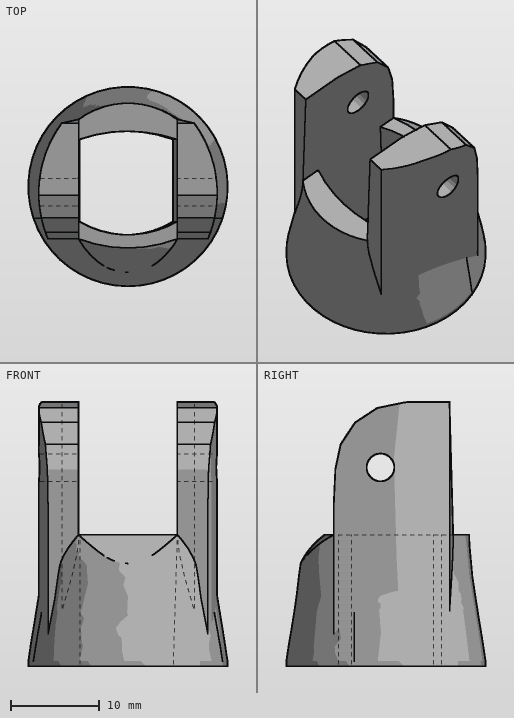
import cadquery as cq

total_height = 29.8
base_radius = 11.23
body_height = 14.85
split_y = -3.58

arm_inner_x = 5.55
arm_outer_x = 10.05
arm_back_x = 7.45
arm_front_x = 9.0
arm_back_y = 7.15
arm_front_y = -5.9
arm_widest_y = -0.98
arm_root_back_y = 7.57

arm_side = [
    (arm_front_y, 0),
    (arm_front_y, 18.27),
    (-5.72, 22.2),
    (-5.13, 25.0),
    (-3.5, 27.48),
    (arm_widest_y, 29.1),
    (1.9, 29.7),
    (2.55, total_height),
    (arm_back_y, total_height),
    (arm_root_back_y, body_height),
    (arm_root_back_y, 0),
]

pin_diameter = 3.1
pin_y = -0.63
pin_z = 22.4

opening_left_x = -5.45
opening_right_x = 5.07
opening_right_top_x = arm_inner_x
opening_back_y = 6.23
opening_back_corner_y = 5.3
opening_front_y = -5.42
opening_front_corner_y = -3.93

front_top_y = -6.9
shoulder_radius = 15.5
shoulder_axis_y = front_top_y + shoulder_radius
drum_clearance = 0.3
drum_straight_height = 5.8

skirt = [(base_radius, 0), (base_radius, 0.6), (10.73, 3.87), (10.25, 6.75)]
back_wall = skirt + [(9.75, 10.13), (9.4, body_height)]
front_wall = skirt + [(9.9, 9.68), (9.63, 11.6), (8.85, 13.53), (8.1, body_height)]

shoulder = [(-9.63, 11.6), (-8.58, 13.25), (-7.8, 14.1), (front_top_y, body_height)]


def turned(wall):
    """Revolve a wall, smooth above its short straight foot, about Z."""
    return (
        cq.Workplane("XZ")
        .moveTo(*wall[0])
        .lineTo(*wall[1])
        .spline(wall[2:], includeCurrent=True)
        .lineTo(0, body_height)
        .lineTo(0, 0)
        .close()
        .revolve(360, (0, 0, 0), (0, 1, 0))
    )


def y_to_axis(y):
    """Distance from the shoulder axis on the centre plane."""
    return shoulder_axis_y - y


def shoulder_envelope():
    """Drum wider than the skirt with a rounded top edge, turned about the shoulder axis."""
    profile = [(y_to_axis(y), z) for y, z in shoulder]
    drum_radius = y_to_axis(-base_radius) + drum_clearance
    return (
        cq.Workplane("XZ")
        .moveTo(0, 0)
        .lineTo(drum_radius, 0)
        .lineTo(drum_radius, drum_straight_height)
        .lineTo(*profile[0])
        .spline(profile[1:], includeCurrent=True)
        .lineTo(0, body_height)
        .close()
        .revolve(360, (0, 0, 0), (0, 1, 0))
        .translate((0, shoulder_axis_y, 0))
    )


def make_body():
    span = 4 * base_radius
    front_half = cq.Workplane("XY").box(span, span, span).translate((0, split_y - span / 2, 0))
    front = turned(front_wall).intersect(shoulder_envelope()).intersect(front_half)
    return turned(back_wall).cut(front_half).union(front)


def make_arm():
    """Right arm: bowed plan trimmed by the facetted side outline."""
    plan = (
        cq.Workplane("XY")
        .moveTo(arm_inner_x, arm_front_y)
        .lineTo(arm_front_x, arm_front_y)
        .threePointArc((arm_outer_x, arm_widest_y), (arm_back_x, arm_back_y))
        .lineTo(arm_inner_x, arm_root_back_y)
        .close()
        .extrude(total_height)
    )
    side = (
        cq.Workplane("YZ")
        .polyline(arm_side)
        .close()
        .extrude(base_radius)
    )
    return plan.intersect(side)


def opening_outline(right_x, z):
    """Opening at height z: straight sides with bowed front and back."""
    middle_x = (opening_left_x + right_x) / 2
    return (
        cq.Workplane("XY", origin=(0, 0, z))
        .moveTo(opening_left_x, opening_front_corner_y)
        .threePointArc((middle_x, opening_front_y), (right_x, opening_front_corner_y))
        .lineTo(right_x, opening_back_corner_y)
        .threePointArc((middle_x, opening_back_y), (opening_left_x, opening_back_corner_y))
        .close()
        .val()
    )


def make_opening():
    base_outline = opening_outline(opening_right_x, 0)
    top_outline = opening_outline(opening_right_top_x, body_height)
    return cq.Workplane(cq.Solid.makeLoft([base_outline, top_outline], True))


def make_pin_hole():
    return (
        cq.Workplane("YZ")
        .center(pin_y, pin_z)
        .circle(pin_diameter / 2)
        .extrude(base_radius, both=True)
    )


arm = make_arm()
fork = make_body().union(arm).union(arm.mirror("YZ"))
result = fork.cut(make_opening()).cut(make_pin_hole())